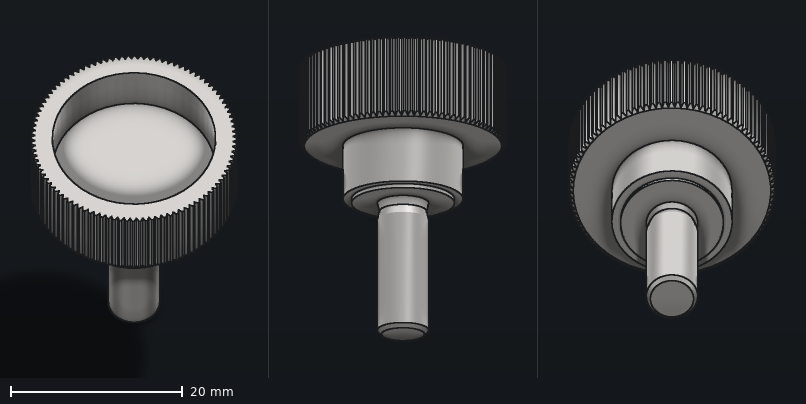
import cadquery as cq
import math

total_height = 32.5

head_diameter = 24.0
head_height = 9.5
head_chamfer = 0.5

recess_diameter = 19.0
recess_depth = 6.0

boss_diameter = 14.0
boss_height = 6.5
collar_diameter = 12.0
collar_height = 0.5

shank_diameter = 6.0
shank_chamfer = 0.5
neck_diameter = 5.5
neck_upper_taper_height = 1.0
neck_lower_taper_height = 1.0

groove_count = 100
groove_depth = 0.42
groove_width = 0.5

head_bottom = total_height - head_height
boss_bottom = head_bottom - boss_height
collar_bottom = boss_bottom - collar_height
neck_waist = collar_bottom - neck_upper_taper_height
neck_bottom = neck_waist - neck_lower_taper_height

head_radius = head_diameter / 2
shank_radius = shank_diameter / 2


def knurled_head():
    """Head disc with V-grooves all around, the first one on the +X axis."""
    root_radius = head_radius - groove_depth
    half_span = math.asin(groove_width / 2 / head_radius)
    pitch = 2 * math.pi / groove_count

    def at(radius, angle):
        return (radius * math.cos(angle), radius * math.sin(angle))

    outline = cq.Workplane("XY").workplane(offset=head_bottom).moveTo(*at(root_radius, 0))
    for index in range(groove_count):
        groove = index * pitch
        next_groove = groove + pitch
        outline = outline.lineTo(*at(head_radius, groove + half_span))
        outline = outline.threePointArc(
            at(head_radius, groove + pitch / 2),
            at(head_radius, next_groove - half_span),
        )
        if index < groove_count - 1:
            outline = outline.lineTo(*at(root_radius, next_groove))
    return outline.close().extrude(head_height).intersect(head_envelope())


def head_envelope():
    """Plain disc with the chamfered lower rim that trims the knurling."""
    disc = cq.Workplane("XY").workplane(offset=head_bottom).circle(head_radius).extrude(head_height)
    return disc.faces("<Z").edges().chamfer(head_chamfer)


def stem():
    """Boss, collar, necked shank and chamfered tip turned about Z."""
    return (
        cq.Workplane("XZ")
        .moveTo(0, 0)
        .lineTo(shank_radius - shank_chamfer, 0)
        .lineTo(shank_radius, shank_chamfer)
        .lineTo(shank_radius, neck_bottom)
        .lineTo(neck_diameter / 2, neck_waist)
        .lineTo(shank_radius, collar_bottom)
        .lineTo(collar_diameter / 2, collar_bottom)
        .lineTo(collar_diameter / 2, boss_bottom)
        .lineTo(boss_diameter / 2, boss_bottom)
        .lineTo(boss_diameter / 2, head_bottom)
        .lineTo(0, head_bottom)
        .close()
        .revolve(360, (0, 0, 0), (0, 1, 0))
    )


def recess():
    """Round pocket sunk into the top of the head."""
    return (
        cq.Workplane("XY")
        .workplane(offset=total_height - recess_depth)
        .circle(recess_diameter / 2)
        .extrude(recess_depth)
    )


result = knurled_head().union(stem()).cut(recess())